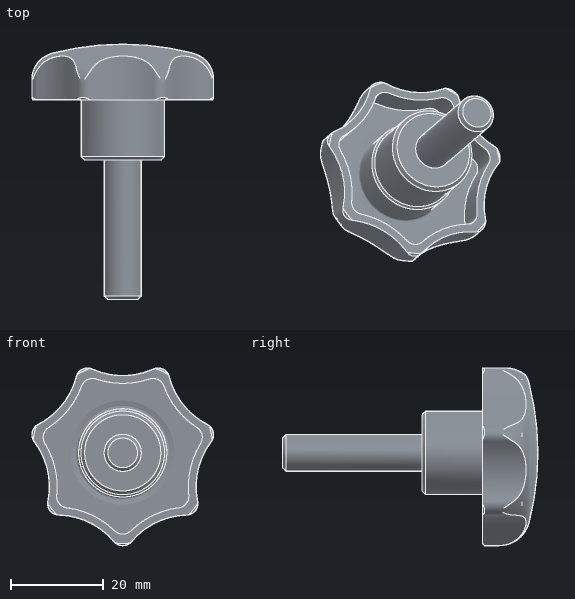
import cadquery as cq
import math


STUD_RADIUS = 4.0
STUD_LENGTH = 30.0
HUB_RADIUS = 9.0
HUB_ROOT_RADIUS = 9.5
HUB_LENGTH = 13.0
END_CHAMFER = 0.8

KNOB_HEIGHT = 25.0
HEAD_RADIUS = 20.0
DOME_RADIUS = 60.0
SHOULDER_RADIUS = 6.7
RIM_CHAMFER = 0.5

LOBE_COUNT = 7
LOBE_PITCH = 360 / LOBE_COUNT
FIRST_LOBE_ANGLE = -90
LOBE_RADIUS = 2.5
SCALLOP_RADIUS = 16.0

WALL = 1.7
CAVITY_DEPTH = 8.5
CAVITY_LOBE_RADIUS = 2.5
RECESS_RADIUS = 11.2
RECESS_SLOPE = 10.0
ROOT_FILLET = 0.5

RIM_Y = HUB_LENGTH
FLOOR_Y = RIM_Y + CAVITY_DEPTH

half_pitch = math.radians(LOBE_PITCH / 2)
lobe_distance = HEAD_RADIUS - LOBE_RADIUS
scallop_distance = lobe_distance * math.cos(half_pitch) + math.sqrt(
    (SCALLOP_RADIUS + LOBE_RADIUS) ** 2 - (lobe_distance * math.sin(half_pitch)) ** 2
)


def polar(distance, angle):
    """Point of a sketch plane at a distance from its origin and an angle from its first axis."""
    return (distance * math.cos(math.radians(angle)), distance * math.sin(math.radians(angle)))


def between(start, end, distance):
    """Point at a distance from start on the way to end."""
    share = distance / math.dist(start, end)
    return (start[0] + share * (end[0] - start[0]), start[1] + share * (end[1] - start[1]))


def lobed_prism(scallop_radius, lobe_radius, y_start, y_end):
    """Prism along Y whose outline alternates convex lobes and tangent concave scallops."""
    centre_distance = scallop_distance * math.cos(half_pitch) - math.sqrt(
        (scallop_radius + lobe_radius) ** 2 - (scallop_distance * math.sin(half_pitch)) ** 2
    )

    def tangent_point(lobe_angle, side):
        lobe_centre = polar(centre_distance, lobe_angle)
        scallop_centre = polar(scallop_distance, lobe_angle + side * LOBE_PITCH / 2)
        return between(lobe_centre, scallop_centre, lobe_radius)

    outline = cq.Workplane("XZ", origin=(0, y_start, 0))
    outline = outline.moveTo(*tangent_point(FIRST_LOBE_ANGLE, -1))
    for index in range(LOBE_COUNT):
        lobe_angle = FIRST_LOBE_ANGLE + index * LOBE_PITCH
        next_angle = lobe_angle + LOBE_PITCH
        lobe_tip = polar(centre_distance + lobe_radius, lobe_angle)
        scallop_bottom = polar(scallop_distance - scallop_radius, lobe_angle + LOBE_PITCH / 2)
        outline = outline.threePointArc(lobe_tip, tangent_point(lobe_angle, 1))
        outline = outline.threePointArc(scallop_bottom, tangent_point(next_angle, -1))
    return outline.close().extrude(y_start - y_end)


def domed_blank():
    """Round head blank: spherical top, tangent shoulder arc and chamfered rim."""
    dome_centre = (0, KNOB_HEIGHT - DOME_RADIUS)
    shoulder_x = HEAD_RADIUS - SHOULDER_RADIUS
    centre_gap = DOME_RADIUS - SHOULDER_RADIUS
    shoulder_y = dome_centre[1] + math.sqrt(centre_gap**2 - shoulder_x**2)
    dome_edge_angle = math.degrees(math.asin(shoulder_x / centre_gap))

    def on_dome(angle):
        x, y = polar(DOME_RADIUS, 90 - angle)
        return (x, dome_centre[1] + y)

    shoulder_mid = polar(SHOULDER_RADIUS, (90 - dome_edge_angle) / 2)
    return (
        cq.Workplane("XY")
        .moveTo(0, RIM_Y)
        .lineTo(HEAD_RADIUS - RIM_CHAMFER, RIM_Y)
        .lineTo(HEAD_RADIUS, RIM_Y + RIM_CHAMFER)
        .lineTo(HEAD_RADIUS, shoulder_y)
        .threePointArc(
            (shoulder_x + shoulder_mid[0], shoulder_y + shoulder_mid[1]),
            on_dome(dome_edge_angle),
        )
        .threePointArc(on_dome(dome_edge_angle / 2), (0, KNOB_HEIGHT))
        .close()
        .revolve(360, (0, 0), (0, 1))
    )


def cavity():
    """Lobed pocket in the underside with a shallow conical recess around the hub."""
    recess_depth = (RECESS_RADIUS - HUB_ROOT_RADIUS) * math.tan(math.radians(RECESS_SLOPE))
    pocket = lobed_prism(SCALLOP_RADIUS + WALL, CAVITY_LOBE_RADIUS, RIM_Y, FLOOR_Y)
    recess = (
        cq.Workplane("XY")
        .moveTo(0, RIM_Y)
        .lineTo(RECESS_RADIUS, RIM_Y)
        .lineTo(RECESS_RADIUS, FLOOR_Y)
        .lineTo(HUB_ROOT_RADIUS, FLOOR_Y + recess_depth)
        .lineTo(0, FLOOR_Y + recess_depth)
        .close()
        .revolve(360, (0, 0), (0, 1))
    )
    return pocket.union(recess)


def hub_and_stud():
    """Stepped shank: chamfered stud, hub and thicker hub root reaching into the head."""
    root_step = HUB_ROOT_RADIUS - HUB_RADIUS
    root_y = (FLOOR_Y + KNOB_HEIGHT) / 2
    return (
        cq.Workplane("XY")
        .moveTo(0, -STUD_LENGTH)
        .lineTo(STUD_RADIUS - END_CHAMFER, -STUD_LENGTH)
        .lineTo(STUD_RADIUS, -STUD_LENGTH + END_CHAMFER)
        .lineTo(STUD_RADIUS, 0)
        .lineTo(HUB_RADIUS - END_CHAMFER, 0)
        .lineTo(HUB_RADIUS, END_CHAMFER)
        .lineTo(HUB_RADIUS, HUB_LENGTH)
        .lineTo(HUB_ROOT_RADIUS, HUB_LENGTH + root_step)
        .lineTo(HUB_ROOT_RADIUS, root_y)
        .lineTo(0, root_y)
        .close()
        .revolve(360, (0, 0), (0, 1))
    )


def fillet_hub_root(body):
    """Round the inside corner where the hub root meets the recess."""
    reach = HUB_ROOT_RADIUS + ROOT_FILLET / 2
    corner = cq.selectors.BoxSelector(
        (-reach, FLOOR_Y, -reach), (reach, KNOB_HEIGHT, reach), boundingbox=True
    )
    return body.edges(corner).fillet(ROOT_FILLET)


head = domed_blank().intersect(lobed_prism(SCALLOP_RADIUS, LOBE_RADIUS, RIM_Y, KNOB_HEIGHT))
knob = head.cut(cavity()).union(hub_and_stud())
result = fillet_hub_root(knob)